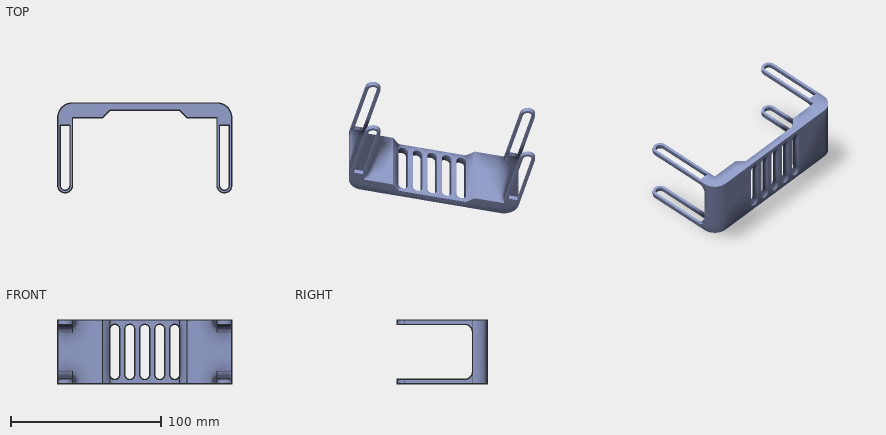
import cadquery as cq

length = 116.0
depth = 60.0
height = 42.5

wall = 10.0
corner_radius = wall
recess_depth = wall / 2
recess_floor_length = 46.0
recess_mouth_length = recess_floor_length + 2 * recess_depth

arm_width = 10.0
arm_thickness = 3.0
arm_fillet = 5.0
arm_slot_width = 6.3
arm_slot_start = wall + arm_fillet
arm_slot_end = depth - (arm_width - arm_slot_width) / 2
arm_center = (length - arm_width) / 2

vent_count = 5
vent_pitch = 10.0
vent_width = 6.5
vent_height = 36.7


def make_wall():
    """Back wall with rounded outer corners and a recess with sloped ends."""
    half_length = length / 2
    return (
        cq.Workplane("XY")
        .moveTo(-half_length, -wall)
        .radiusArc((corner_radius - half_length, 0), corner_radius)
        .lineTo(half_length - corner_radius, 0)
        .radiusArc((half_length, -wall), corner_radius)
        .lineTo(recess_mouth_length / 2, -wall)
        .lineTo(recess_floor_length / 2, recess_depth - wall)
        .lineTo(-recess_floor_length / 2, recess_depth - wall)
        .lineTo(-recess_mouth_length / 2, -wall)
        .close()
        .extrude(height / 2, both=True)
    )


def make_vents():
    """Row of upright round-ended openings that pass through the wall."""
    return (
        cq.Workplane("XZ")
        .rarray(vent_pitch, 1.2, vent_count, 1)
        .slot2D(vent_height, vent_width, 90)
        .extrude(wall)
    )


def make_finger(width, start, end):
    """Full-height prism, square at distance start behind the back face and round at end."""
    radius = width / 2
    return (
        cq.Workplane("XY")
        .moveTo(-radius, -start)
        .lineTo(radius, -start)
        .lineTo(radius, radius - end)
        .threePointArc((0, -end), (-radius, radius - end))
        .close()
        .extrude(height / 2, both=True)
    )


def make_arm_gap():
    """Open space between an upper and a lower arm, rounded where the arms meet the wall."""
    return (
        cq.Workplane("XY")
        .box(arm_width, depth, height - 2 * arm_thickness)
        .edges("|X and >Y")
        .fillet(arm_fillet)
        .translate((0, -depth / 2 - wall, 0))
    )


def make_arm_pair(x):
    """Upper and lower slotted arms with round tips, centred on x."""
    arms = make_finger(arm_width, wall, depth).cut(make_arm_gap())
    slot = make_finger(arm_slot_width, arm_slot_start, arm_slot_end)
    return arms.cut(slot).translate((x, 0, 0))


result = make_wall().cut(make_vents())
for side in (-1, 1):
    result = result.union(make_arm_pair(side * arm_center))